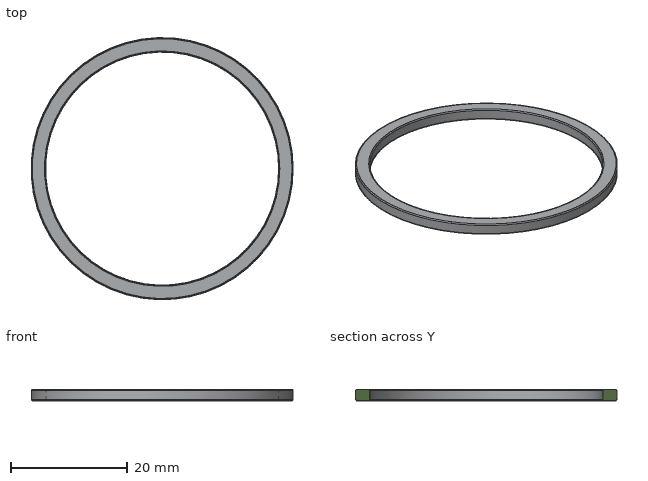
import cadquery as cq

outer_diameter = 45.0
inner_diameter = 40.0
thickness = 2.0
edge_chamfer = 0.2

ring = (
    cq.Workplane("XY")
    .circle(outer_diameter / 2)
    .circle(inner_diameter / 2)
    .extrude(thickness)
)

result = ring.faces("|Z").edges().chamfer(edge_chamfer)